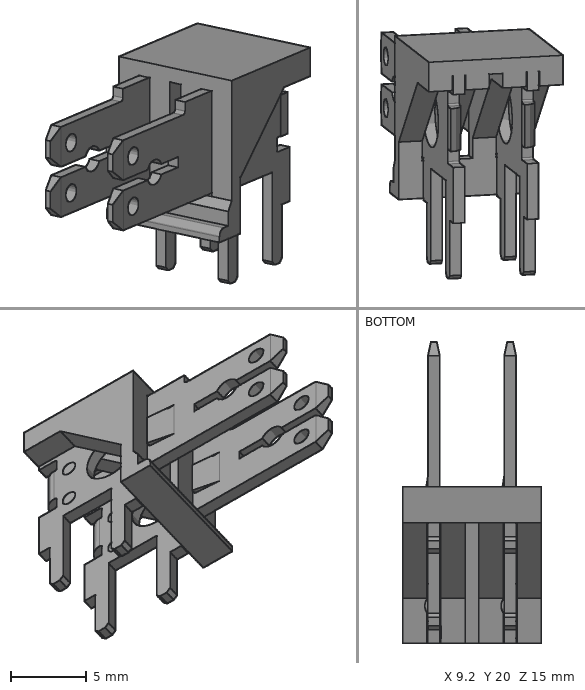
import cadquery as cq

LENGTH = 20.0
WIDTH = 9.2
HEIGHT = 15.0

HOUSING_DEPTH = 9.0
WALL = 1.0
HOUSING_BOTTOM = 4.1
ROOF_BOTTOM = HEIGHT - 2.0
GUSSET = 5.0
LEDGE_START = 6.65
LEDGE_SLOPE_END = 6.0
LEDGE_DEPTH = 0.4
LIP_TOP = 5.0
LIP_DEPTH = 1.4
LIP_RADIUS = 0.5
SLOT_WIDTH = 0.92
SLOT_TOP = 13.98
FRONT_FACE = LENGTH - HOUSING_DEPTH
WALL_BACK = FRONT_FACE + WALL

PITCH = 5.05
THICKNESS = 0.8
PLATE_BOTTOM = 4.0
SHOULDER_FRONT = 8.0
SHOULDER_RADIUS = 0.22

FORK_CENTRE = 10.0
FORK_GAP = 0.72
FORK_END = 7.2
BLADE_HEIGHT = 2.78
BLADE_OFFSET = (FORK_GAP + BLADE_HEIGHT) / 2
BLADE_TOP = FORK_CENTRE + FORK_GAP / 2 + BLADE_HEIGHT
BLADE_BOTTOM = FORK_CENTRE - FORK_GAP / 2 - BLADE_HEIGHT
TIP_LENGTH = 0.92
TIP_HEIGHT = 1.2
TIP_THICKNESS = 0.4
BLADE_HOLE_DIAMETER = 1.2
BLADE_HOLE_Y = 2.08
FORK_RELIEF_DIAMETER = 1.72
FORK_RELIEF_Y = 4.52

LEG_WIDTH = 1.1
FRONT_LEG_Y = 12.92
REAR_LEG_Y = 18.0
LEG_CHAMFER = 0.28
ARCH_TOP = 6.52

WINDOW_DIAMETER = 4.0
WINDOW_Y = 14.05
BUMP_DIAMETER = 1.05
BUMP_RISE = 0.2
BUMP_Y = 17.52
BUMP_HEIGHTS = (8.02, 11.1)
NOTCH_FRONT = 18.55
NOTCH_HEIGHT = 1.02
NOTCH_RADIUS = 0.15
TAB_BOTTOM = 8.8
TAB_TOP = 11.7
BEND_START = 18.78
BEND_RADIUS = 0.88

BARB_FRONT = 8.88
BARB_BACK = 10.88
BARB_RISE = 0.3
BARB_FRONT_HEIGHT = 3.0
BARB_BACK_HEIGHT = 2.65


def box(x_min, x_max, y_min, y_max, z_min, z_max):
    size = (x_max - x_min, y_max - y_min, z_max - z_min)
    return cq.Workplane("XY").box(*size, centered=False).translate((x_min, y_min, z_min))


def cross_cylinder(diameter, y, z):
    """Cylinder along X, centred on the mid-plane of a plate."""
    return cq.Workplane("YZ").center(y, z).circle(diameter / 2).extrude(THICKNESS, both=True)


def make_housing():
    lip_front = FRONT_FACE - LIP_DEPTH
    body = (
        cq.Workplane("YZ")
        .moveTo(LENGTH, HEIGHT)
        .lineTo(FRONT_FACE, HEIGHT)
        .lineTo(FRONT_FACE, LEDGE_START)
        .lineTo(FRONT_FACE - LEDGE_DEPTH, LEDGE_SLOPE_END)
        .lineTo(FRONT_FACE - LEDGE_DEPTH, LIP_TOP)
        .lineTo(lip_front + LIP_RADIUS, LIP_TOP)
        .radiusArc((lip_front, LIP_TOP - LIP_RADIUS), -LIP_RADIUS)
        .lineTo(lip_front, HOUSING_BOTTOM)
        .lineTo(WALL_BACK, HOUSING_BOTTOM)
        .lineTo(WALL_BACK, ROOF_BOTTOM - GUSSET)
        .lineTo(WALL_BACK + GUSSET, ROOF_BOTTOM)
        .lineTo(LENGTH, ROOF_BOTTOM)
        .close()
        .extrude(WIDTH / 2, both=True)
    )
    half_slot = SLOT_WIDTH / 2
    for x in (-PITCH / 2, 0, PITCH / 2):
        body = body.cut(box(x - half_slot, x + half_slot, FRONT_FACE, LENGTH, LEDGE_START, SLOT_TOP))
    return body


def make_plate_blank():
    """Flat plate with its shoulder and legs, without blade tips and cut-outs."""
    outline = (
        cq.Workplane("YZ")
        .moveTo(LENGTH, SLOT_TOP)
        .lineTo(SHOULDER_FRONT, SLOT_TOP)
        .lineTo(SHOULDER_FRONT, BLADE_TOP + SHOULDER_RADIUS)
        .radiusArc((SHOULDER_FRONT - SHOULDER_RADIUS, BLADE_TOP), SHOULDER_RADIUS)
        .lineTo(TIP_LENGTH, BLADE_TOP)
        .lineTo(TIP_LENGTH, BLADE_BOTTOM)
        .lineTo(WALL_BACK, BLADE_BOTTOM)
        .lineTo(WALL_BACK, PLATE_BOTTOM)
        .lineTo(LENGTH, PLATE_BOTTOM)
        .close()
    )
    plate = outline.extrude(THICKNESS / 2, both=True)
    half = THICKNESS / 2
    plate = plate.cut(box(-half, half, FRONT_LEG_Y + LEG_WIDTH, REAR_LEG_Y, PLATE_BOTTOM, ARCH_TOP))
    for leg_y in (FRONT_LEG_Y, REAR_LEG_Y):
        leg = box(-half, half, leg_y, leg_y + LEG_WIDTH, 0, ARCH_TOP)
        plate = plate.union(leg.faces("<Z").edges("|X").chamfer(LEG_CHAMFER))
    return plate


def make_blade_tip(z):
    """Frustum that narrows in X and Z towards Y = 0."""
    return (
        cq.Workplane("XZ", origin=(0, TIP_LENGTH, z))
        .rect(THICKNESS, BLADE_HEIGHT)
        .workplane(offset=TIP_LENGTH)
        .rect(TIP_THICKNESS, TIP_HEIGHT)
        .loft(ruled=True)
    )


def make_barb():
    """Wedge that rises from the blade towards the housing."""
    face = -THICKNESS / 2
    half_front = BARB_FRONT_HEIGHT / 2
    half_back = BARB_BACK_HEIGHT / 2
    outline = (
        cq.Workplane("YZ", origin=(face - BARB_RISE, 0, FORK_CENTRE))
        .moveTo(BARB_FRONT, half_front)
        .lineTo(BARB_BACK, half_back)
        .lineTo(BARB_BACK, -half_back)
        .lineTo(BARB_FRONT, -half_front)
        .close()
        .extrude(BARB_RISE)
    )
    wedge = (
        cq.Workplane("XY")
        .moveTo(face, BARB_FRONT)
        .lineTo(face - BARB_RISE, BARB_BACK)
        .lineTo(face, BARB_BACK)
        .close()
        .extrude(HEIGHT)
    )
    return outline.intersect(wedge)


def make_bent_tab():
    """Tab between the rear notches, bent a quarter turn towards +X."""
    outer = -THICKNESS / 2
    inner_radius = BEND_RADIUS - THICKNESS
    return (
        cq.Workplane("XY", origin=(0, 0, TAB_BOTTOM))
        .moveTo(outer, NOTCH_FRONT)
        .lineTo(outer, BEND_START)
        .radiusArc((outer + BEND_RADIUS, BEND_START + BEND_RADIUS), BEND_RADIUS)
        .lineTo(outer + BEND_RADIUS, BEND_START + inner_radius)
        .radiusArc((outer + THICKNESS, BEND_START), -inner_radius)
        .lineTo(outer + THICKNESS, NOTCH_FRONT)
        .close()
        .extrude(TAB_TOP - TAB_BOTTOM)
    )


def make_bump(z):
    """Shallow spherical cap that stands on the -X face of the plate."""
    face = -THICKNESS / 2
    rim = BUMP_DIAMETER / 2
    ball_radius = (rim**2 + BUMP_RISE**2) / (2 * BUMP_RISE)
    return (
        cq.Workplane("XY", origin=(face, BUMP_Y, z))
        .moveTo(0, 0)
        .lineTo(0, rim)
        .radiusArc((-BUMP_RISE, 0), -ball_radius)
        .close()
        .revolve(360, (0, 0), (1, 0))
    )


def make_terminal():
    half = THICKNESS / 2
    plate = make_plate_blank()

    half_gap = FORK_GAP / 2
    plate = plate.cut(box(-half, half, 0, FORK_END, FORK_CENTRE - half_gap, FORK_CENTRE + half_gap))
    plate = plate.cut(cross_cylinder(FORK_RELIEF_DIAMETER, FORK_RELIEF_Y, FORK_CENTRE))
    for z in (FORK_CENTRE - BLADE_OFFSET, FORK_CENTRE + BLADE_OFFSET):
        plate = plate.union(make_blade_tip(z))
        plate = plate.cut(cross_cylinder(BLADE_HOLE_DIAMETER, BLADE_HOLE_Y, z))

    plate = plate.cut(cross_cylinder(WINDOW_DIAMETER, WINDOW_Y, FORK_CENTRE))
    plate = plate.cut(box(-half, half, BEND_START, LENGTH, TAB_BOTTOM, TAB_TOP))
    for z in (TAB_BOTTOM - NOTCH_HEIGHT, TAB_TOP):
        notch = box(-half, half, NOTCH_FRONT, LENGTH, z, z + NOTCH_HEIGHT)
        plate = plate.cut(notch.faces("<Y").edges("|X").fillet(NOTCH_RADIUS))

    for z in BUMP_HEIGHTS:
        plate = plate.union(make_bump(z))
    return plate.union(make_bent_tab()).union(make_barb())


result = make_housing()
terminal = make_terminal()
for x in (-PITCH / 2, PITCH / 2):
    result = result.union(terminal.translate((x, 0, 0)))